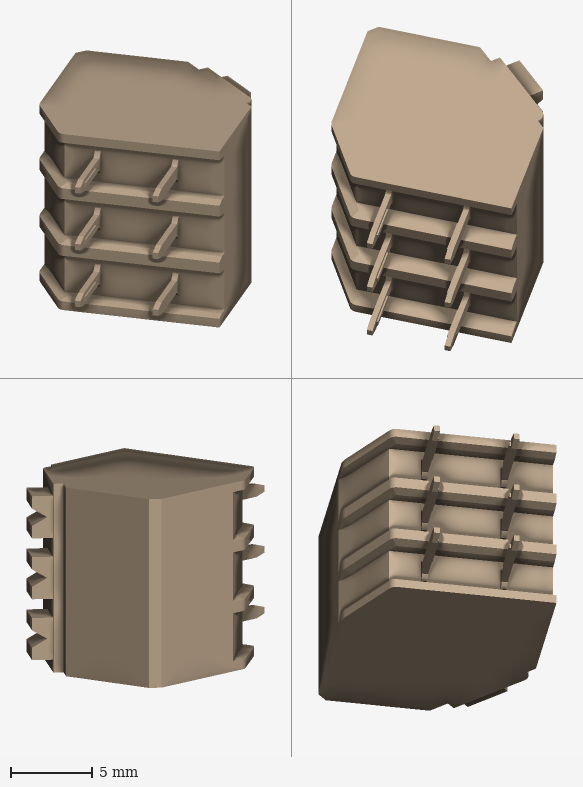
import cadquery as cq
import math

OVERALL_DEPTH = 16.72

HOUSING_WIDTH = 12.7
HOUSING_DEPTH = 12.9
HEIGHT = 11.82
BACK_CHAMFER = 0.55
SLANT_X = 2.44
SLANT_Y = 4.06
SLANT_FRONT_RADIUS = 0.5
SLANT_SIDE_RADIUS = 1.0

BEVEL_SUM = 19.96
STEP = 0.64
STEP_START = (8.03, BEVEL_SUM - 8.03)
STEP_END = (12.22, BEVEL_SUM - 12.22)

POLES = 3
PITCH = 3.81
POLE_HEIGHTS = [(i - (POLES - 1) / 2) * PITCH for i in range(POLES)]

RECESS = 1.2
PLATE_BEVEL_REACH = RECESS / 2
RIB_THICKNESS = 1.05
RIB_BEVEL = 0.17
END_PLATE_THICKNESS = 0.7
END_PLATE_BEVEL = 0.12

PIN_THICKNESS = 0.37
PIN_SPACING = 4.98
FIRST_PIN_X = 4.61
PIN_HALF_HEIGHT = 0.4
PIN_TIP_HALF_HEIGHT = 0.2
PIN_TAPER_START = 2.71
SHOULDER_HALF_HEIGHT = 0.72
SHOULDER_END_Y = 1.05
SHOULDER_TAPER_END_Y = SHOULDER_END_Y - (SHOULDER_HALF_HEIGHT - PIN_HALF_HEIGHT)
PIN_ROOT_DEPTH = 0.17
BEAD_HEIGHT = 0.32
BEAD_PROJECTION = 0.1
BEAD_START = 0.28
BEAD_END = 2.6

BUTTON_LENGTH = 3.0
BUTTON_PROJECTION = 1.3
BUTTON_HEIGHT = 2.65
BUTTON_OFFSET = 0.13
BUTTON_ROOT_DEPTH = 0.17
GROOVE_WIDTH = 1.09
GROOVE_ANGLE = 60.0

DIAGONAL = math.sqrt(0.5)
BUTTON_TIP_Y = STEP_START[1] + (STEP + BUTTON_PROJECTION - BUTTON_OFFSET) * DIAGONAL
PIN_LENGTH = OVERALL_DEPTH - BUTTON_TIP_Y


def diagonal_point(origin, along, outward):
    """Point measured down the 45 degree face and outward from it."""
    return (
        origin[0] + (along + outward) * DIAGONAL,
        origin[1] + (outward - along) * DIAGONAL,
    )


def housing_outline(recess):
    """Closed outline with its front and slanted edges set back along Y."""
    bevel_length = math.dist(STEP_START, STEP_END)
    arc_middle = diagonal_point(STEP_END, -STEP * (1 - DIAGONAL), STEP * DIAGONAL)
    return (
        cq.Workplane("XY")
        .workplane(offset=-HEIGHT / 2)
        .moveTo(SLANT_X, recess)
        .lineTo(HOUSING_WIDTH, recess)
        .lineTo(HOUSING_WIDTH, BEVEL_SUM - HOUSING_WIDTH)
        .lineTo(*STEP_END)
        .threePointArc(arc_middle, diagonal_point(STEP_START, bevel_length - STEP, STEP))
        .lineTo(*diagonal_point(STEP_START, 0, STEP))
        .lineTo(*STEP_START)
        .lineTo(BEVEL_SUM - HOUSING_DEPTH, HOUSING_DEPTH)
        .lineTo(BACK_CHAMFER, HOUSING_DEPTH)
        .lineTo(0, HOUSING_DEPTH - BACK_CHAMFER)
        .lineTo(0, SLANT_Y + recess)
        .close()
    )


def round_slant(solid):
    """Round both ends of the slanted edge of an unrecessed prism."""
    front_end = cq.selectors.NearestToPointSelector((SLANT_X, 0, 0))
    side_end = cq.selectors.NearestToPointSelector((0, SLANT_Y, 0))
    rounded = solid.edges("|Z").edges(front_end).fillet(SLANT_FRONT_RADIUS)
    return rounded.edges("|Z").edges(side_end).fillet(SLANT_SIDE_RADIUS)


def edge_bevel(start, end, face_z, side, drop):
    """Wedge that bevels a plate along one straight edge; material lies to the left."""
    length = math.dist(start, end)
    direction = ((end[0] - start[0]) / length, (end[1] - start[1]) / length, 0)
    inward = (-direction[1], direction[0], 0)
    edge_plane = cq.Plane(origin=(start[0], start[1], face_z), xDir=inward, normal=direction)
    return (
        cq.Workplane(edge_plane)
        .polyline([(0, -drop * side), (PLATE_BEVEL_REACH, 0), (0, 0)])
        .close()
        .extrude(length)
    )


def rounded_corner_bevel(face_z, side, drop):
    """Conical wedge that carries the bevel around the rounded side end of the slant."""
    turn = math.atan2(SLANT_X, SLANT_Y)
    center_y = SLANT_Y + SLANT_SIDE_RADIUS * math.tan(turn / 2)
    inner_radius = SLANT_SIDE_RADIUS - PLATE_BEVEL_REACH
    return (
        cq.Workplane("XZ", origin=(SLANT_SIDE_RADIUS, center_y, face_z))
        .polyline([(-SLANT_SIDE_RADIUS, -drop * side), (-inner_radius, 0), (-SLANT_SIDE_RADIUS, 0)])
        .close()
        .revolve(math.degrees(turn), (0, 0, 0), (0, 1, 0))
    )


def beveled(solid, face_z, side, drop):
    """Bevel one face of a plate along its left, slanted and front edges."""
    corners = [(0, HOUSING_DEPTH), (0, SLANT_Y), (SLANT_X, 0), (HOUSING_WIDTH, 0)]
    for start, end in zip(corners, corners[1:]):
        solid = solid.cut(edge_bevel(start, end, face_z, side, drop))
    return solid.cut(rounded_corner_bevel(face_z, side, drop))


def plate(blank, bottom_z, top_z, lower_bevel, upper_bevel):
    """Partition plate with its front, slanted and left edges beveled on the pole sides."""
    thickness = top_z - bottom_z
    slab = cq.Workplane("XY").box(HOUSING_WIDTH, HOUSING_DEPTH, thickness, centered=False)
    solid = blank.intersect(slab.translate((0, 0, bottom_z)))
    if lower_bevel:
        solid = beveled(solid, bottom_z, -1, lower_bevel)
    if upper_bevel:
        solid = beveled(solid, top_z, 1, upper_bevel)
    return solid


def housing():
    """Recessed core joined to the end plates and the ribs between poles."""
    blank = round_slant(housing_outline(0).extrude(HEIGHT))
    solid = housing_outline(RECESS).extrude(HEIGHT)
    top = HEIGHT / 2
    solid = solid.union(plate(blank, -top, END_PLATE_THICKNESS - top, 0, END_PLATE_BEVEL))
    solid = solid.union(plate(blank, top - END_PLATE_THICKNESS, top, END_PLATE_BEVEL, 0))
    for pole_z in POLE_HEIGHTS[:-1]:
        rib_bottom = pole_z + (PITCH - RIB_THICKNESS) / 2
        rib = plate(blank, rib_bottom, rib_bottom + RIB_THICKNESS, RIB_BEVEL, RIB_BEVEL)
        solid = solid.union(rib)
    return solid


def pin(center_x, center_z, bead_side):
    """Flat shouldered pin with a stiffening bead on one face."""
    upper = [
        (RECESS + PIN_ROOT_DEPTH, SHOULDER_HALF_HEIGHT),
        (SHOULDER_END_Y, SHOULDER_HALF_HEIGHT),
        (SHOULDER_TAPER_END_Y, PIN_HALF_HEIGHT),
        (-PIN_TAPER_START, PIN_HALF_HEIGHT),
        (-PIN_LENGTH, PIN_TIP_HALF_HEIGHT),
    ]
    lower = [(y, -z) for y, z in reversed(upper)]
    blade = (
        cq.Workplane("YZ")
        .polyline(upper + lower)
        .close()
        .extrude(PIN_THICKNESS / 2, both=True)
    )
    bead = (
        cq.Workplane("XY")
        .box(PIN_THICKNESS / 2 + BEAD_PROJECTION, BEAD_END - BEAD_START, BEAD_HEIGHT)
        .translate((
            bead_side * (PIN_THICKNESS / 2 + BEAD_PROJECTION) / 2,
            -(BEAD_START + BEAD_END) / 2,
            0,
        ))
    )
    return blade.union(bead).translate((center_x, 0, center_z))


def button(center_z):
    """Push button with a V groove running down its length."""
    half_height = BUTTON_HEIGHT / 2
    half_groove = GROOVE_WIDTH / 2
    groove_depth = half_groove / math.tan(math.radians(GROOVE_ANGLE / 2))
    upper_end = diagonal_point(STEP_START, BUTTON_OFFSET, STEP)
    end_plane = cq.Plane(
        origin=(upper_end[0], upper_end[1], center_z), xDir=(1, 1, 0), normal=(1, -1, 0)
    )
    profile = [
        (-BUTTON_ROOT_DEPTH, -half_height),
        (BUTTON_PROJECTION, -half_height),
        (BUTTON_PROJECTION, -half_groove),
        (BUTTON_PROJECTION - groove_depth, 0),
        (BUTTON_PROJECTION, half_groove),
        (BUTTON_PROJECTION, half_height),
        (-BUTTON_ROOT_DEPTH, half_height),
    ]
    return cq.Workplane(end_plane).polyline(profile).close().extrude(BUTTON_LENGTH)


result = housing()
for pole_z in POLE_HEIGHTS:
    result = result.union(pin(FIRST_PIN_X, pole_z, 1))
    result = result.union(pin(FIRST_PIN_X + PIN_SPACING, pole_z, -1))
    result = result.union(button(pole_z))